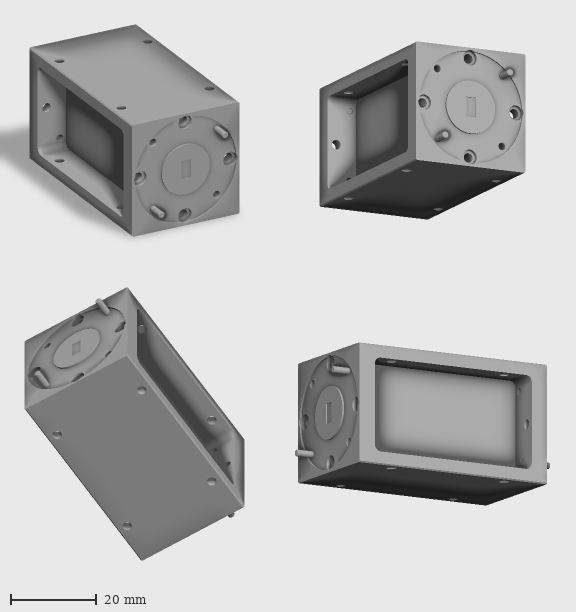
import cadquery as cq
import math

BODY_LENGTH = 50.8
BODY_SIDE = 28.57
EDGE_CHAMFER = 0.3

POCKET_LENGTH = 42.5
POCKET_HEIGHT = 22.4
POCKET_DEPTH = 7.5
POCKET_CORNER_RADIUS = 1.59

MOUNT_HOLE_DIAMETER = 2.26
MOUNT_SPACING_X = 30.48
MOUNT_SPACING_Y = 23.45

FLANGE_RING_OUTER_DIAMETER = 26.9
FLANGE_RING_INNER_DIAMETER = 12.7
FLANGE_RING_DEPTH = 0.5
WAVEGUIDE_WIDTH_Y = 2.388
WAVEGUIDE_HEIGHT_Z = 4.775
WAVEGUIDE_DEPTH = 0.25
FLANGE_CIRCLE_DIAMETER = 23.876

SCREW_HOLE_DIAMETER = 2.26
COUNTERBORE_DIAMETER = 3.6
COUNTERBORE_DEPTH = 1.4
BLIND_HOLE_DEPTH = 6.0
DRILL_POINT_ANGLE = 118.0

PIN_DIAMETER = 1.59
PIN_CHAMFER = 0.17
OVERALL_LENGTH = 58.55
MATING_HOLE_DIAMETER = 1.7
MATING_HOLE_CHAMFER = 0.15

END_X = BODY_LENGTH / 2
END_WALL = (BODY_LENGTH - POCKET_LENGTH) / 2
PIN_PROJECTION = (OVERALL_LENGTH - BODY_LENGTH) / 2
PIN_LENGTH = END_WALL + PIN_PROJECTION
FLANGE_CIRCLE_RADIUS = FLANGE_CIRCLE_DIAMETER / 2
PIN_OFFSET = FLANGE_CIRCLE_RADIUS / math.sqrt(2)

THROUGH_SCREW_PLACES = [(-FLANGE_CIRCLE_RADIUS, 0), (FLANGE_CIRCLE_RADIUS, 0)]
BLIND_SCREW_PLACES = [(0, -FLANGE_CIRCLE_RADIUS), (0, FLANGE_CIRCLE_RADIUS)]
PIN_PLACES = [(-PIN_OFFSET, PIN_OFFSET), (PIN_OFFSET, -PIN_OFFSET)]
MATING_HOLE_PLACES = [(PIN_OFFSET, PIN_OFFSET), (-PIN_OFFSET, -PIN_OFFSET)]
END_TURNS = [0, 180]


def turned_about_z(shape, angle):
    return shape.rotate((0, 0, 0), (0, 0, 1), angle)


def end_plane(depth):
    """Workplane along +X, the given depth inside the -X end face, with local axes Y and Z."""
    return cq.Workplane("YZ").workplane(offset=depth - END_X)


def make_block():
    return cq.Workplane("XY").box(BODY_LENGTH, BODY_SIDE, BODY_SIDE).edges("|X").chamfer(EDGE_CHAMFER)


def make_pocket(side):
    pocket = cq.Workplane("XY").box(POCKET_LENGTH, POCKET_DEPTH, POCKET_HEIGHT)
    pocket = pocket.edges("|Y").fillet(POCKET_CORNER_RADIUS)
    return pocket.translate((0, side * (BODY_SIDE - POCKET_DEPTH) / 2, 0))


def make_mount_holes():
    holes = cq.Workplane("XY").rect(MOUNT_SPACING_X, MOUNT_SPACING_Y, forConstruction=True)
    return holes.vertices().circle(MOUNT_HOLE_DIAMETER / 2).extrude(BODY_SIDE / 2, both=True)


def make_flange_recesses():
    """Shallow ring around the centre boss, and the waveguide aperture in the boss."""
    ring = end_plane(0).circle(FLANGE_RING_OUTER_DIAMETER / 2).circle(FLANGE_RING_INNER_DIAMETER / 2)
    aperture = end_plane(0).rect(WAVEGUIDE_WIDTH_Y, WAVEGUIDE_HEIGHT_Z).extrude(WAVEGUIDE_DEPTH)
    return ring.extrude(FLANGE_RING_DEPTH).union(aperture)


def make_screw_holes():
    """Two counterbored holes opening into the pockets and two blind ones with a drill point."""
    radius = SCREW_HOLE_DIAMETER / 2
    point_length = radius / math.tan(math.radians(DRILL_POINT_ANGLE / 2))
    counterbore_places = THROUGH_SCREW_PLACES + BLIND_SCREW_PLACES
    counterbores = end_plane(0).pushPoints(counterbore_places).circle(COUNTERBORE_DIAMETER / 2)
    through = end_plane(0).pushPoints(THROUGH_SCREW_PLACES).circle(radius).extrude(END_WALL)
    holes = counterbores.extrude(COUNTERBORE_DEPTH).union(through)
    for y, z in BLIND_SCREW_PLACES:
        profile = (
            cq.Workplane("XY")
            .polyline([(0, 0), (0, radius), (BLIND_HOLE_DEPTH, radius), (BLIND_HOLE_DEPTH + point_length, 0)])
            .close()
        )
        blind = profile.revolve(360, (0, 0, 0), (1, 0, 0))
        holes = holes.union(blind.translate((-END_X, y, z)))
    return holes


def make_pin_holes():
    """Holes that the pins fill."""
    return end_plane(0).pushPoints(PIN_PLACES).circle(PIN_DIAMETER / 2).extrude(END_WALL)


def make_mating_holes():
    """Chamfered clearance holes for the mating flange's pins."""
    radius = MATING_HOLE_DIAMETER / 2
    holes = end_plane(FLANGE_RING_DEPTH).pushPoints(MATING_HOLE_PLACES).circle(radius)
    holes = holes.extrude(END_WALL - FLANGE_RING_DEPTH)
    for y, z in MATING_HOLE_PLACES:
        mouth = cq.Solid.makeCone(
            radius + MATING_HOLE_CHAMFER,
            radius,
            MATING_HOLE_CHAMFER,
            pnt=cq.Vector(FLANGE_RING_DEPTH - END_X, y, z),
            dir=cq.Vector(1, 0, 0),
        )
        holes = holes.union(cq.Workplane(mouth))
    return holes


def make_housing():
    body = make_block()
    for side in (-1, 1):
        body = body.cut(make_pocket(side))
    body = body.cut(make_mount_holes())
    end_cuts = [make_flange_recesses(), make_screw_holes(), make_pin_holes(), make_mating_holes()]
    for angle in END_TURNS:
        for cutter in end_cuts:
            body = body.cut(turned_about_z(cutter, angle))
    return body


def make_alignment_pin(y, z):
    """Pin standing out of the -X end, chamfered at both ends and flush with the pocket wall."""
    pin = end_plane(-PIN_PROJECTION).center(y, z).circle(PIN_DIAMETER / 2).extrude(PIN_LENGTH)
    return pin.faces("<X or >X").edges().chamfer(PIN_CHAMFER)


housing = make_housing()
alignment_pins = [
    turned_about_z(make_alignment_pin(y, z), angle) for angle in END_TURNS for y, z in PIN_PLACES
]

result = cq.Compound.makeCompound([housing.val(), *[pin.val() for pin in alignment_pins]])